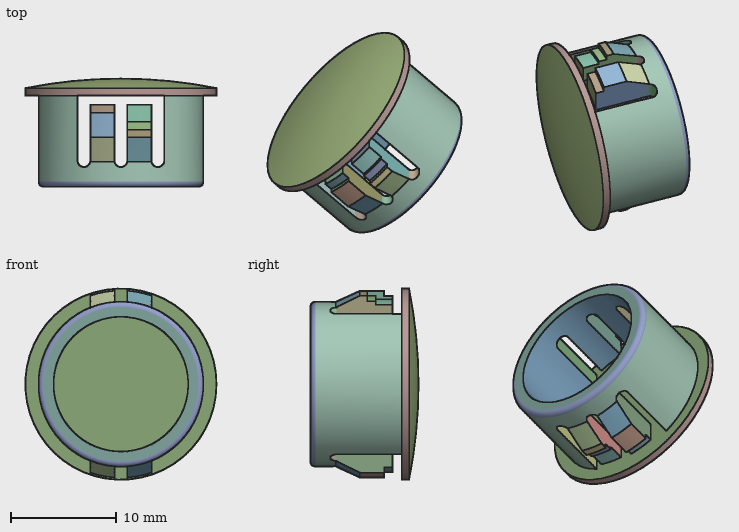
import cadquery as cq
import math

flange_radius = 9.1
flange_thickness = 0.71
dome_height = 0.91

barrel_radius = 7.85
bore_radius = 6.4
barrel_length = 8.68
rim_fillet = 0.5

slot_width = 1.2
finger_width = 2.31
slot_depth = 6.79
finger_gap = 0.85
window_width = 3 * slot_width + 2 * finger_width
finger_pitch = slot_width + finger_width

crest_radius = 8.9
middle_step_radius = 8.4
low_step_radius = 8.1
short_step_end = 1.65
low_step_end = 2.48
middle_step_end = 3.28
crest_end = 3.97
ramp_end = 6.28


def make_cap():
    """Flange disc with a spherical dome, revolved about Y."""
    dome_sphere_radius = (flange_radius**2 + dome_height**2) / (2 * dome_height)
    half_radius = flange_radius / 2
    sphere_center = flange_thickness + dome_height - dome_sphere_radius
    arc_middle = sphere_center + math.sqrt(dome_sphere_radius**2 - half_radius**2)
    return (
        cq.Workplane("XY")
        .lineTo(flange_radius, 0)
        .lineTo(flange_radius, flange_thickness)
        .threePointArc((half_radius, arc_middle), (0, flange_thickness + dome_height))
        .close()
        .revolve(360, (0, 0), (0, 1))
    )


def make_barrel():
    """Tube with a rounded outer edge at its open end."""
    return (
        cq.Workplane("XZ")
        .circle(barrel_radius)
        .extrude(barrel_length)
        .faces("<Y")
        .edges()
        .fillet(rim_fillet)
        .cut(cq.Workplane("XZ").circle(bore_radius).extrude(barrel_length))
    )


def make_window():
    """Material removed around the fingers, through both sides of the barrel."""
    straight_depth = slot_depth - slot_width / 2
    through = 2 * flange_radius
    window = cq.Workplane("XY").box(window_width, straight_depth, through)
    window = window.translate((0, -straight_depth / 2, 0))
    for x in (-finger_pitch, 0, finger_pitch):
        slot_end = (
            cq.Workplane("XY")
            .center(x, -straight_depth)
            .circle(slot_width / 2)
            .extrude(through / 2, both=True)
        )
        window = window.union(slot_end)
    return window


def make_finger(x_side, z_side, steps):
    """Snap finger; steps lists (radius, end distance) from its free end to the crest."""
    points = [(bore_radius, -finger_gap)]
    start = finger_gap
    for radius, end in steps:
        points += [(radius, -start), (radius, -end)]
        start = end
    points += [
        (crest_radius, -start),
        (crest_radius, -crest_end),
        (barrel_radius, -ramp_end),
        (bore_radius, -ramp_end),
    ]
    ring = cq.Workplane("XY").polyline(points).close().revolve(360, (0, 0), (0, 1))
    strip = cq.Workplane("XY").box(finger_width, 2 * barrel_length, flange_radius)
    strip = strip.translate((x_side * finger_pitch / 2, 0, z_side * flange_radius / 2))
    return ring.intersect(strip)


result = make_cap().union(make_barrel().cut(make_window()))

single_step = [(middle_step_radius, short_step_end)]
double_step = [(low_step_radius, low_step_end), (middle_step_radius, middle_step_end)]
for side in (-1, 1):
    result = result.union(make_finger(-side, side, single_step))
    result = result.union(make_finger(side, side, double_step))